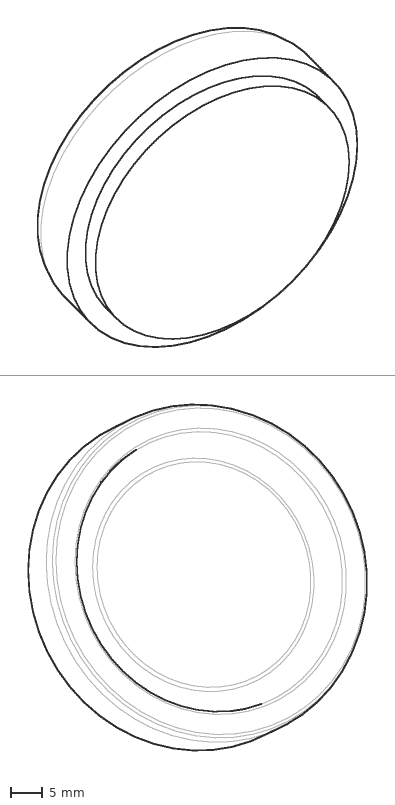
import cadquery as cq
import math

body_radius = 27.45
body_length = 10.0
spigot_radius = 48.0 / 2
total_length = 13.0

taper_end = 2.0
taper_angle = math.radians(15)
rim_round = 0.5

recess_radius = 22.8
mouth_round = 0.5
disc_depth = 3.0
groove_radius = 2.15
groove_center_depth = 2.0
disc_edge_round = 0.8


def on_circle(x, radius, size, angle):
    """Point on a circle in the (x, radius) half plane, angle measured from +X towards +radius."""
    return (x + size * math.cos(angle), radius + size * math.sin(angle))


taper_normal = math.pi / 2 + taper_angle
taper_arc_x, taper_arc_radius = on_circle(rim_round, 0, rim_round, taper_normal)
taper_start_radius = body_radius - (taper_end - taper_arc_x) * math.tan(taper_angle)
rim_center = (rim_round, taper_start_radius - taper_arc_radius)
rim_face = on_circle(*rim_center, rim_round, math.pi)
rim_middle = on_circle(*rim_center, rim_round, (math.pi + taper_normal) / 2)
rim_end = on_circle(*rim_center, rim_round, taper_normal)

mouth_center = (mouth_round, recess_radius + mouth_round)
mouth_middle = on_circle(*mouth_center, mouth_round, -3 * math.pi / 4)

groove_center = (groove_center_depth, recess_radius - groove_radius)
edge_center_x = disc_depth + disc_edge_round
center_distance = groove_radius + disc_edge_round
join_angle = -math.acos((edge_center_x - groove_center_depth) / center_distance)
edge_center = on_circle(*groove_center, center_distance, join_angle)
groove_bottom = on_circle(*groove_center, groove_radius, 0)
groove_join = on_circle(*groove_center, groove_radius, join_angle)
edge_normal = join_angle + math.pi
edge_middle = on_circle(*edge_center, disc_edge_round, (edge_normal + math.pi) / 2)
edge_face = on_circle(*edge_center, disc_edge_round, math.pi)

groove_start_direction = (-math.sin(join_angle), math.cos(join_angle))
wall_direction = (-1, 0)

profile = (
    cq.Workplane("XY")
    .moveTo(disc_depth, 0)
    .lineTo(*edge_face)
    .threePointArc(edge_middle, groove_join)
    .spline(
        [groove_bottom, (mouth_round, recess_radius)],
        tangents=[groove_start_direction, wall_direction],
        includeCurrent=True,
    )
    .threePointArc(mouth_middle, (0, recess_radius + mouth_round))
    .lineTo(*rim_face)
    .threePointArc(rim_middle, rim_end)
    .lineTo(taper_end, body_radius)
    .lineTo(body_length, body_radius)
    .lineTo(body_length, spigot_radius)
    .lineTo(total_length, spigot_radius)
    .lineTo(total_length, 0)
    .close()
)

result = profile.revolve(360, (0, 0, 0), (1, 0, 0))